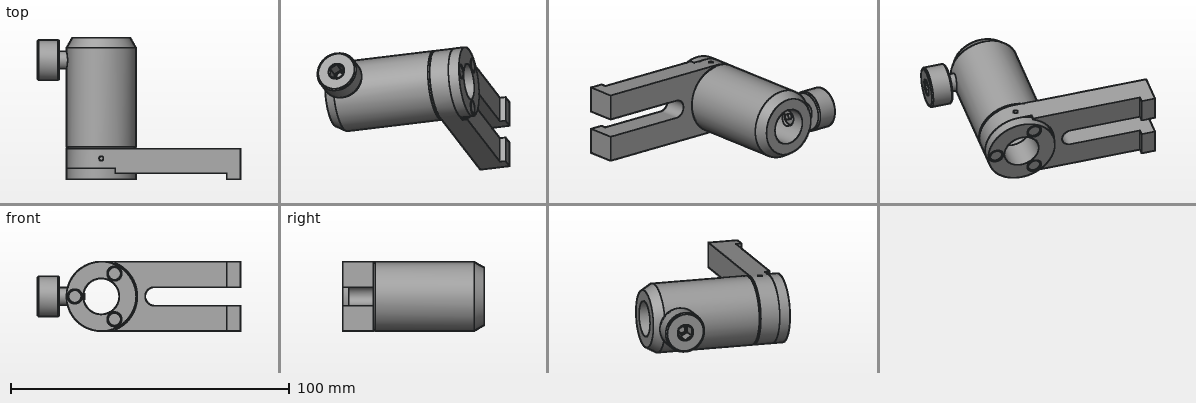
import cadquery as cq
import math


TOTAL_DEPTH = 50.9
POST_DIAMETER = 25.0
POST_RADIUS = POST_DIAMETER / 2
BORE_RADIUS = 6.4
NOSE_LENGTH = 3.7
NOSE_INSET = 2.1
SHOULDER_CHAMFER = 0.65

ARM_END_X = 50.0
ARM_BACK_Y = 11.0
ARM_FRONT_Y = 2.1
TOE_LENGTH = 5.0
SLOT_WIDTH = 6.55
SLOT_START_X = 15.8
RECESS_RADIUS = 13.0
RECESS_SIDE_X = 4.95
VENT_DIAMETER = 1.6

FLANGE_THICKNESS = 3.95
HUB_RADIUS = 9.5
PIN_COUNT = 3
PIN_RADIUS = 2.25
PIN_CIRCLE_RADIUS = 9.5
PIN_HOLE_CHAMFER = 0.4

SCREW_Y = 42.8
KNOB_OUTER_X = -22.9
KNOB_RADIUS = 7.3
KNOB_LENGTH = 7.9
KNOB_CHAMFER = 0.5
STEM_RADIUS = 3.2
STEM_END_X = -7.3
TIP_RADIUS = 1.0
TIP_PROTRUSION = 0.5
SOCKET_ACROSS_FLATS = 5.0
SOCKET_DEPTH = 5.8
SOCKET_COUNTERSINK_RADIUS = 3.0
BOSS_BASE_RADIUS = 1.75
BOSS_CHAMFER = 0.5
BOSS_HEIGHT = 1.45


def cylinder_y(radius, start, end):
    """Cylinder on the post axis between two Y positions."""
    return cq.Workplane("XZ", origin=(0, start, 0)).circle(radius).extrude(start - end)


def cylinder_x(radius, start, end):
    """Cylinder on the thumbscrew axis between two X positions."""
    return cq.Workplane("YZ", origin=(start, SCREW_Y, 0)).circle(radius).extrude(end - start)


def make_post():
    nose_y = TOTAL_DEPTH - NOSE_LENGTH
    profile = [
        (BORE_RADIUS, ARM_BACK_Y),
        (POST_RADIUS - SHOULDER_CHAMFER, ARM_BACK_Y),
        (POST_RADIUS, ARM_BACK_Y + SHOULDER_CHAMFER),
        (POST_RADIUS, nose_y),
        (POST_RADIUS - NOSE_INSET, TOTAL_DEPTH),
        (BORE_RADIUS, TOTAL_DEPTH),
    ]
    post = cq.Workplane("XY").polyline(profile).close().revolve(360, (0, 0, 0), (0, 1, 0))
    return post.cut(cylinder_x(STEM_RADIUS, -POST_RADIUS, 0))


def make_arm():
    bar_profile = [
        (0, ARM_BACK_Y),
        (ARM_END_X, ARM_BACK_Y),
        (ARM_END_X, 0),
        (ARM_END_X - TOE_LENGTH, 0),
        (ARM_END_X - TOE_LENGTH, ARM_FRONT_Y),
        (RECESS_SIDE_X, ARM_FRONT_Y),
        (RECESS_SIDE_X, FLANGE_THICKNESS),
        (0, FLANGE_THICKNESS),
    ]
    bar = cq.Workplane("XY").polyline(bar_profile).close().extrude(POST_RADIUS, both=True)
    arm = bar.union(cylinder_y(POST_RADIUS, FLANGE_THICKNESS, ARM_BACK_Y))
    arm = arm.cut(cylinder_y(RECESS_RADIUS, 0, FLANGE_THICKNESS))
    arm = arm.cut(cylinder_y(HUB_RADIUS, 0, ARM_BACK_Y))

    slot_center_x = SLOT_START_X + SLOT_WIDTH / 2
    slot_end = cq.Workplane("XZ").center(slot_center_x, 0).circle(SLOT_WIDTH / 2).extrude(-ARM_BACK_Y)
    slot = cq.Workplane("XY").box(
        ARM_END_X - slot_center_x, ARM_BACK_Y, SLOT_WIDTH, centered=(False, False, True)
    ).translate((slot_center_x, 0, 0))
    arm = arm.cut(slot).cut(slot_end)

    vent_y = (FLANGE_THICKNESS + ARM_BACK_Y) / 2
    vent = cq.Workplane("XY", origin=(0, vent_y, 0)).circle(VENT_DIAMETER / 2).extrude(POST_RADIUS)
    return arm.cut(vent)


def pin_positions():
    angles = [math.radians(180 + index * 360 / PIN_COUNT) for index in range(PIN_COUNT)]
    return [(PIN_CIRCLE_RADIUS * math.cos(a), PIN_CIRCLE_RADIUS * math.sin(a)) for a in angles]


def make_pin(x, z):
    return cq.Workplane("XZ", origin=(x, 0, z)).circle(PIN_RADIUS).extrude(-FLANGE_THICKNESS)


def make_retainer():
    flange = cylinder_y(POST_RADIUS, 0, FLANGE_THICKNESS)
    hub = cylinder_y(HUB_RADIUS, FLANGE_THICKNESS, ARM_BACK_Y)
    retainer = flange.union(hub).cut(cylinder_y(BORE_RADIUS, 0, ARM_BACK_Y))
    for x, z in pin_positions():
        retainer = retainer.cut(make_pin(x, z))
        countersink = cq.Solid.makeCone(
            PIN_RADIUS + PIN_HOLE_CHAMFER,
            PIN_RADIUS,
            PIN_HOLE_CHAMFER,
            pnt=cq.Vector(x, 0, z),
            dir=cq.Vector(0, 1, 0),
        )
        retainer = retainer.cut(cq.Workplane(countersink))
    return retainer


def make_thumbscrew():
    knob_inner_x = KNOB_OUTER_X + KNOB_LENGTH
    socket_floor_x = KNOB_OUTER_X + SOCKET_DEPTH
    screw = cylinder_x(KNOB_RADIUS, KNOB_OUTER_X, knob_inner_x).edges().chamfer(KNOB_CHAMFER)
    screw = screw.union(cylinder_x(STEM_RADIUS, knob_inner_x, STEM_END_X))
    screw = screw.union(cylinder_x(TIP_RADIUS, STEM_END_X, TIP_PROTRUSION - BORE_RADIUS))

    socket = (
        cq.Workplane("YZ", origin=(KNOB_OUTER_X, SCREW_Y, 0))
        .transformed(rotate=(0, 0, 90))
        .polygon(6, 2 * SOCKET_ACROSS_FLATS / math.sqrt(3))
        .extrude(SOCKET_DEPTH)
    )
    mouth = cq.Solid.makeCone(
        SOCKET_COUNTERSINK_RADIUS,
        0,
        SOCKET_COUNTERSINK_RADIUS,
        pnt=cq.Vector(KNOB_OUTER_X, SCREW_Y, 0),
        dir=cq.Vector(1, 0, 0),
    )
    screw = screw.cut(socket).cut(cq.Workplane(mouth))

    boss = cylinder_x(BOSS_BASE_RADIUS, socket_floor_x - BOSS_HEIGHT, socket_floor_x)
    boss = boss.faces("<X").chamfer(BOSS_CHAMFER)
    return screw.union(boss)


post = make_post()
arm = make_arm()
retainer = make_retainer()
pins = [make_pin(x, z) for x, z in pin_positions()]
thumbscrew = make_thumbscrew()

result = cq.Compound.makeCompound(
    [post.val(), arm.val(), retainer.val(), thumbscrew.val(), *[pin.val() for pin in pins]]
)